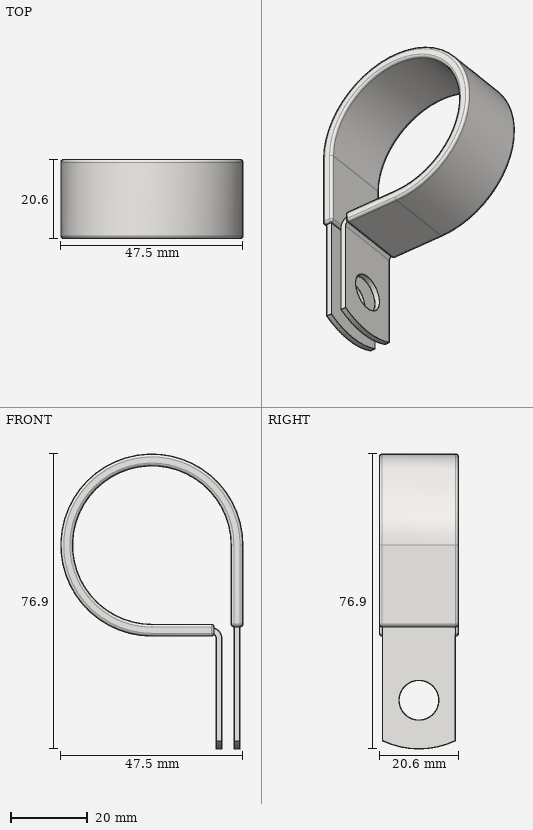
import cadquery as cq
import math


loop_outer_radius = 23.75
strap_thickness = 1.5
strap_width = 19.04
cushion_cover = 0.8
cushion_fillet = 0.75
leg_gap = 3.175
bend_inner_radius = 1.5
tip_z = -53.16
tip_rise = 2.15
hole_diameter = 10.3
hole_z = -40.45
cushion_end_x = 16.25
cushion_end_z = -21.3
loop_mid_angle = 135
bend_mid_angle = 45

cushion_width = strap_width + 2 * cushion_cover
cushion_thickness = strap_thickness + 2 * cushion_cover
strap_outer_radius = loop_outer_radius - cushion_cover
strap_inner_radius = strap_outer_radius - strap_thickness
bent_leg_outer_x = strap_inner_radius - leg_gap
bent_leg_inner_x = bent_leg_outer_x - strap_thickness
bend_outer_radius = bend_inner_radius + strap_thickness
bend_center_x = bent_leg_outer_x - bend_outer_radius
bend_center_z = -strap_inner_radius - bend_outer_radius


def xz_outline(x, z, width):
    """Start an outline in the XZ plane, placed for extrusion centred on Y."""
    return cq.Workplane("XZ", origin=(0, width / 2, 0)).moveTo(x, z)


def on_circle(center_x, center_z, radius, angle):
    """Point at an angle in degrees from +X on a circle in the XZ plane."""
    return (
        center_x + radius * math.cos(math.radians(angle)),
        center_z + radius * math.sin(math.radians(angle)),
    )


def face_nearest(body, point):
    """Face of the body whose centre lies closest to the point."""
    return body.faces(cq.selectors.NearestToPointSelector(point))


def make_cushion():
    """Three-quarter ring with two straight runs, rounded along its sides and ends."""
    outer = loop_outer_radius
    inner = outer - cushion_thickness
    body = (
        xz_outline(outer, cushion_end_z, cushion_width)
        .lineTo(outer, 0)
        .threePointArc(on_circle(0, 0, outer, loop_mid_angle), (0, -outer))
        .lineTo(cushion_end_x, -outer)
        .lineTo(cushion_end_x, -inner)
        .lineTo(0, -inner)
        .threePointArc(on_circle(0, 0, inner, loop_mid_angle), (inner, 0))
        .lineTo(inner, cushion_end_z)
        .close()
        .extrude(cushion_width)
    )
    middle_radius = (outer + inner) / 2
    vertical_end = face_nearest(body, (middle_radius, 0, cushion_end_z))
    horizontal_end = face_nearest(body, (cushion_end_x, 0, -middle_radius))
    rounded_faces = body.faces("|Y").add(vertical_end).add(horizontal_end)
    return rounded_faces.edges().fillet(cushion_fillet)


def make_strap():
    """Loop strap with one straight leg and one leg bent down beside it."""
    outer = strap_outer_radius
    inner = strap_inner_radius
    return (
        xz_outline(outer, tip_z, strap_width)
        .lineTo(outer, 0)
        .threePointArc(on_circle(0, 0, outer, loop_mid_angle), (0, -outer))
        .lineTo(bend_center_x, -outer)
        .threePointArc(
            on_circle(bend_center_x, bend_center_z, bend_inner_radius, bend_mid_angle),
            (bent_leg_inner_x, bend_center_z),
        )
        .lineTo(bent_leg_inner_x, tip_z)
        .lineTo(bent_leg_outer_x, tip_z)
        .lineTo(bent_leg_outer_x, bend_center_z)
        .threePointArc(
            on_circle(bend_center_x, bend_center_z, bend_outer_radius, bend_mid_angle),
            (bend_center_x, -inner),
        )
        .lineTo(0, -inner)
        .threePointArc(on_circle(0, 0, inner, loop_mid_angle), (inner, 0))
        .lineTo(inner, tip_z)
        .close()
        .extrude(strap_width)
    )


def make_tip_envelope():
    """Block spanning the strap in X, with a shallow arc along its bottom."""
    half_width = strap_width / 2
    shoulder_z = tip_z + tip_rise
    return (
        cq.Workplane("YZ", origin=(-loop_outer_radius, 0, 0))
        .moveTo(-half_width, loop_outer_radius)
        .lineTo(-half_width, shoulder_z)
        .threePointArc((0, tip_z), (half_width, shoulder_z))
        .lineTo(half_width, loop_outer_radius)
        .close()
        .extrude(2 * loop_outer_radius)
    )


def make_bolt_hole():
    """Cylinder along X that pierces both legs."""
    return (
        cq.Workplane("YZ")
        .center(0, hole_z)
        .circle(hole_diameter / 2)
        .extrude(loop_outer_radius)
    )


strap = make_strap().intersect(make_tip_envelope()).cut(make_bolt_hole())
result = make_cushion().union(strap)